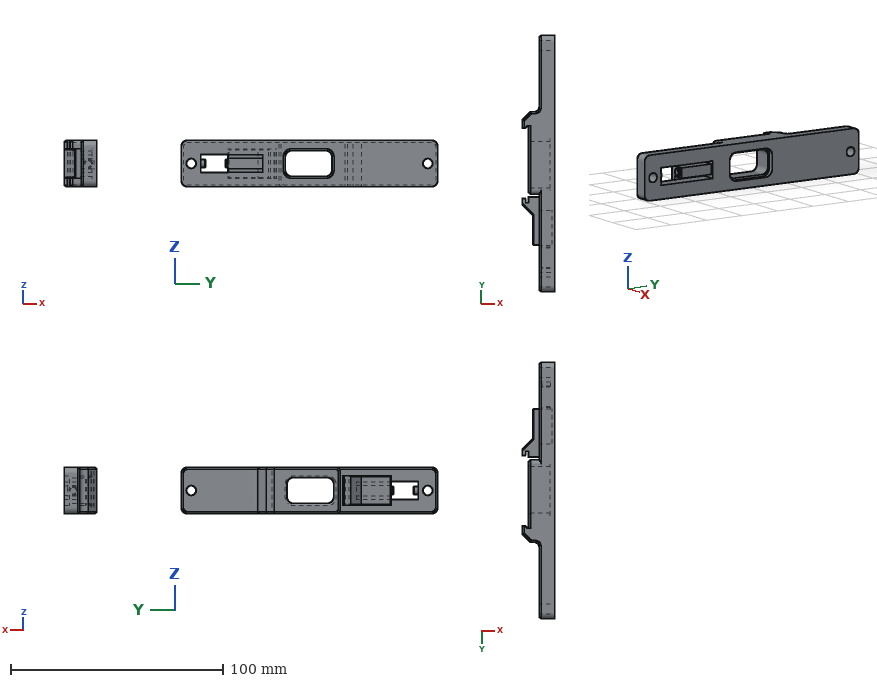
import cadquery as cq

length = 121.0
width = 22.0
plate_height = 7.5
pad_height = 12.5
hook_height = 15.5
corner_radius = 3.0
edge_chamfer = 1.0
top_end = length / 2
bottom_end = -length / 2

pad_top = 17.75
pad_bottom = -14.5
pad_corner_radius = 2.0
hook_slope = 4.0
hook_reach = 1.1
hook_lip = 1.5
hook_back = 24.5
cove_radius = 2.0

window_length = 22.0
window_width = 12.0
window_center = -0.4
window_radius = 3.0
window_rounding = 1.0
window_step = 1.0
window_step_depth = 2.5

mount_diameter = 4.5
mount_inset = 4.75

slot_top = -22.0
slot_bottom = -51.2
slot_width = 8.4

post_diameter = 4.0
post_chamfer = 0.5
post_height = 4.25
housing_post_length = 2.2
latch_post_length = 1.2

latch_width = 14.0
latch_top = -15.75
latch_bottom = -38.5
grip_height = 10.5
latch_hook_top = -16.5
latch_notch_floor = -18.4
latch_slope_top = -19.35
latch_hook_thickness = 1.8
latch_tip_bevel = 0.4
latch_chamfer = 0.5
tongue_width = 5.0
tongue_depth = 6.0

pick_margin = 0.1


def box(x_range, y_range, z_width):
    """Block between two X and two Y positions, centred on Z = 0."""
    x_size = x_range[1] - x_range[0]
    y_size = y_range[1] - y_range[0]
    corner = (x_range[0], y_range[0], -z_width / 2)
    return cq.Workplane("XY").box(x_size, y_size, z_width, centered=False).translate(corner)


def edge_region(x_range, y_range, z_reach=width):
    """Selector for edges centred between two X and two Y positions, within a Z reach."""
    low = (x_range[0] - pick_margin, y_range[0] - pick_margin, -z_reach - pick_margin)
    high = (x_range[1] + pick_margin, y_range[1] + pick_margin, z_reach + pick_margin)
    return cq.selectors.BoxSelector(low, high)


def spring_post(base_y, post_length, direction):
    """Round post along Y with a chamfered tip; direction is +1 or -1."""
    plane = cq.Plane(origin=(-post_height, base_y, 0), xDir=(1, 0, 0), normal=(0, direction, 0))
    post = cq.Workplane(plane).circle(post_diameter / 2).extrude(post_length)
    return post.faces(">Y" if direction > 0 else "<Y").chamfer(post_chamfer)


def housing_blank():
    """Side profile with the hook and the rail pad, extruded across the width."""
    profile = (
        cq.Workplane("XY")
        .workplane(offset=-width / 2)
        .moveTo(0, bottom_end)
        .lineTo(0, top_end)
        .lineTo(-plate_height, top_end)
        .lineTo(-plate_height, hook_back + cove_radius)
        .radiusArc((-plate_height - cove_radius, hook_back), cove_radius)
        .lineTo(-hook_height + hook_slope, hook_back)
        .lineTo(-hook_height, hook_back - hook_slope)
        .lineTo(-hook_height, pad_top - hook_reach)
        .lineTo(-hook_height + hook_lip, pad_top - hook_reach)
        .lineTo(-hook_height + hook_lip + hook_reach, pad_top)
        .lineTo(-pad_height, pad_top)
        .lineTo(-pad_height, pad_bottom)
        .lineTo(-plate_height, pad_bottom)
        .lineTo(-plate_height, bottom_end)
        .close()
    )
    return profile.extrude(width)


def round_corners(body):
    """Round the four plate corners and the two lower pad corners, seen along X."""
    body = body.edges("|X").edges("<Y or >Y").fillet(corner_radius)
    pad_end = edge_region((-pad_height, -plate_height), (pad_bottom, pad_bottom))
    return body.edges("|X").edges(pad_end).fillet(pad_corner_radius)


def chamfer_rim(body, x_range, y_range):
    """Chamfer the side edges in a region; tangent end edges follow along."""
    return body.edges(edge_region(x_range, y_range)).edges("not |Z").chamfer(edge_chamfer)


def window_opening(x_range, margin):
    """Round-cornered opening, larger than the window by a margin on every side."""
    half_length = window_length / 2 + margin
    y_range = (window_center - half_length, window_center + half_length)
    opening = box(x_range, y_range, window_width + 2 * margin)
    return opening.edges("|X").fillet(window_radius + margin)


def cut_window(body):
    """Window with a rounded rim on the rail side and a shallow step at the back."""
    body = body.cut(window_opening((-pad_height, 0), 0))
    half_length = window_length / 2
    rim = edge_region(
        (-pad_height, -pad_height),
        (window_center - half_length, window_center + half_length),
        window_width / 2,
    )
    body = body.edges(rim).fillet(window_rounding)
    return body.cut(window_opening((-window_step_depth, 0), window_step))


def mount_holes():
    """Through holes near both ends of the plate."""
    mount_reach = length / 2 - mount_inset
    centers = [(-mount_reach, 0), (mount_reach, 0)]
    return cq.Workplane("YZ").pushPoints(centers).circle(mount_diameter / 2).extrude(-plate_height)


def make_housing():
    """Plate with pad, fixed hook, window, latch slot and spring post."""
    body = round_corners(housing_blank())
    lower_plate_y = (bottom_end, pad_bottom - edge_chamfer)
    pad_y = (pad_bottom, pad_top - edge_chamfer)
    upper_plate_y = (pad_top + hook_reach / 4, top_end)
    body = chamfer_rim(body, (-plate_height, -plate_height), lower_plate_y)
    body = chamfer_rim(body, (-pad_height, -pad_height), pad_y)
    body = chamfer_rim(body, (-hook_height, -plate_height), upper_plate_y)
    body = cut_window(body)
    body = body.cut(box((-plate_height, 0), (slot_bottom, slot_top), slot_width))
    body = body.cut(mount_holes())
    return body.union(spring_post(slot_bottom, housing_post_length, 1))


def latch_blank():
    """Side profile of the latch with its hook, slope and grip, extruded across its width."""
    hook_inner = -hook_height + latch_hook_thickness
    profile = (
        cq.Workplane("XY")
        .workplane(offset=-latch_width / 2)
        .moveTo(-plate_height, latch_bottom)
        .lineTo(-plate_height, latch_top)
        .lineTo(-pad_height, latch_top)
        .lineTo(-pad_height, latch_notch_floor)
        .lineTo(hook_inner, latch_notch_floor)
        .lineTo(hook_inner, latch_hook_top - latch_tip_bevel)
        .lineTo(hook_inner - latch_tip_bevel, latch_hook_top)
        .lineTo(-hook_height, latch_hook_top)
        .lineTo(-hook_height, latch_slope_top)
        .lineTo(-grip_height, latch_slope_top - (hook_height - grip_height))
        .lineTo(-grip_height, latch_bottom)
        .close()
    )
    return profile.extrude(latch_width)


def make_latch():
    """Sliding latch: hook and grip outside, tongue and spring post in the slot."""
    slope_middle_x = -(hook_height + grip_height) / 2
    slope_middle_y = latch_slope_top - (hook_height - grip_height) / 2
    grip = edge_region((slope_middle_x, -grip_height), (latch_bottom, slope_middle_y))
    body = latch_blank().edges(grip).edges("(not |Z) or <Y").chamfer(latch_chamfer)
    tongue_x = (-plate_height, tongue_depth - plate_height)
    tongue = box(tongue_x, (latch_bottom, slot_top), tongue_width)
    return body.union(tongue).union(spring_post(latch_bottom, latch_post_length, -1))


housing = make_housing()
latch = make_latch()

result = cq.Compound.makeCompound([housing.val(), latch.val()])